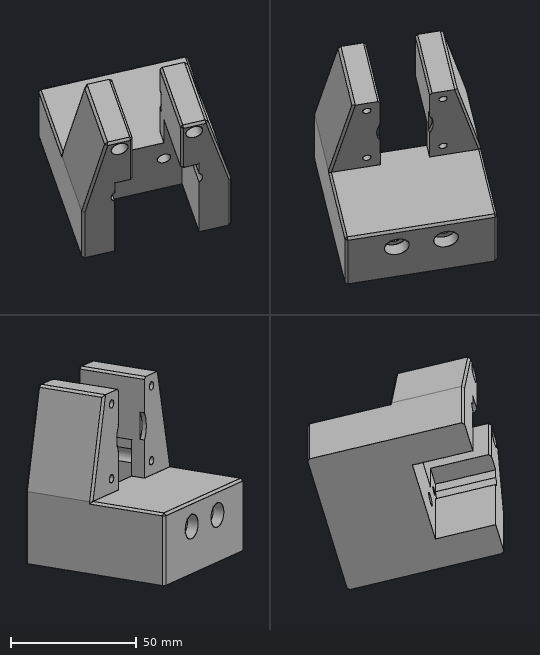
import cadquery as cq

length = 65.0
width = 62.0
height = 72.0
base_height = 30.0
chamfer = 1.0
tolerance = 0.01

arm_front = 34.0
arm_top_half_width = 21.25
slot_width = 20.0
slot_front = 40.0

pocket_width = 35.0
pocket_height = 45.15

motor_axis_z = 51.5
motor_hole_spacing = 31.0
motor_hole_diameter = 3.3
motor_head_diameter = 7.0
pilot_diameter = 23.0
pilot_depth = 2.0

screw_spacing = slot_width
screw_z = 19.65
screw_diameter = 5.5
screw_head_diameter = 10.0
screw_head_depth = 5.0


def block(x_start, x_end, y_size, z_start, z_end):
    """Box centred on the symmetry plane."""
    return cq.Workplane("XY").box(
        x_end - x_start, y_size, z_end - z_start, centered=(False, True, False)
    ).translate((x_start, 0, z_start))


def x_cylinders(diameter, x_start, x_end, centres):
    """Cylinders along X at the given (y, z) centres."""
    plane = cq.Workplane("YZ", origin=(x_start, 0, 0))
    return plane.pushPoints(centres).circle(diameter / 2).extrude(x_end - x_start)


def is_broken_arm_edge(edge):
    """True for the outer sides, the arm tops and the slot mouth; the arm fronts stay sharp inside."""
    box = edge.BoundingBox()
    centre = box.center
    spans_height = box.zlen > tolerance
    outer_side = spans_height and abs(centre.y) > arm_top_half_width
    top = box.zmin > height - tolerance and centre.x > arm_front + tolerance
    slot_mouth = spans_height and box.xmin > length - tolerance
    return outer_side or top or slot_mouth


half_width = width / 2
rear = (
    cq.Workplane("YZ", origin=(arm_front, 0, 0))
    .polyline([
        (-half_width, 0),
        (half_width, 0),
        (half_width, base_height),
        (arm_top_half_width, height),
        (-arm_top_half_width, height),
        (-half_width, base_height),
    ])
    .close()
    .extrude(length - arm_front)
)
rear = rear.cut(block(arm_front, length, slot_width, base_height, height))
rear = rear.cut(block(slot_front, length, slot_width, 0, height))
broken_edges = [edge for edge in rear.edges().vals() if is_broken_arm_edge(edge)]
rear = rear.newObject(broken_edges).chamfer(chamfer)

front = block(0, arm_front + chamfer, width, 0, base_height)
front = front.edges("(<X and |Z) or (>Z and (<X or <Y or >Y))").chamfer(chamfer)
body = front.union(rear)

body = body.cut(block(slot_front, length, pocket_width, 0, pocket_height))

motor_offset = motor_hole_spacing / 2
motor_centres = [
    (y, motor_axis_z + dz)
    for y in (-motor_offset, motor_offset)
    for dz in (-motor_offset, motor_offset)
]
body = body.cut(x_cylinders(motor_hole_diameter, arm_front, length, motor_centres))
body = body.cut(x_cylinders(motor_head_diameter, slot_front, length, motor_centres))
pilot_end = arm_front + pilot_depth
body = body.cut(x_cylinders(pilot_diameter, arm_front, pilot_end, [(0, motor_axis_z)]))

screw_centres = [(-screw_spacing / 2, screw_z), (screw_spacing / 2, screw_z)]
body = body.cut(x_cylinders(screw_diameter, 0, slot_front, screw_centres))
body = body.cut(x_cylinders(screw_head_diameter, 0, screw_head_depth, screw_centres))

result = body